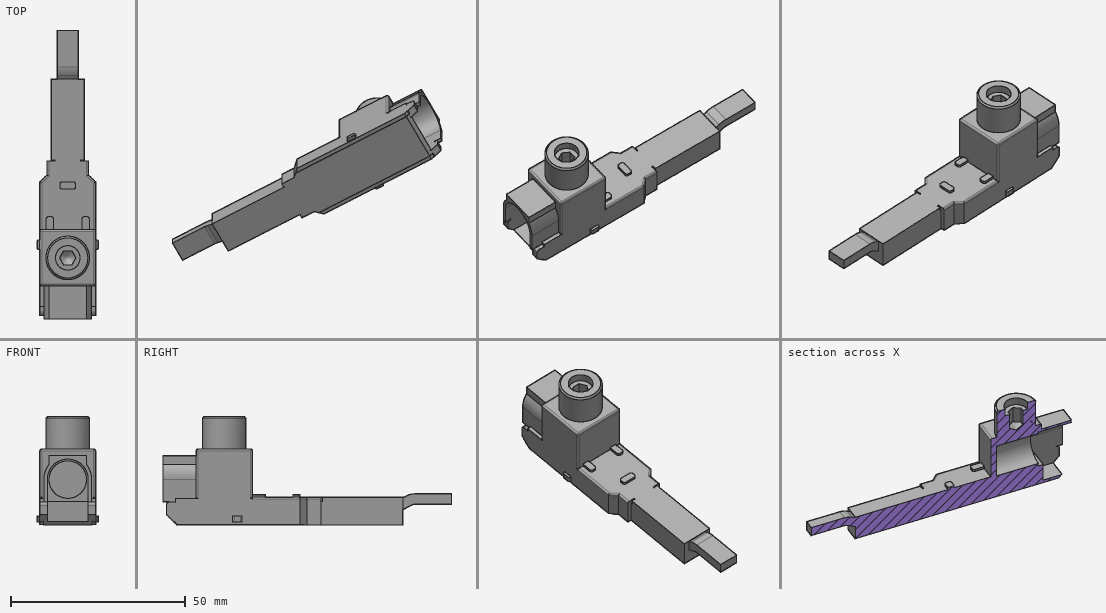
import cadquery as cq
import math

total_width = 17.6
total_length = 82.6
total_height = 31.1
edge_radius = 0.6

base_width = 16.0
base_height = 8.0
base_front = 1.0
floor_thickness = 1.1
neck_width = 12.0
neck_end = 45.3
neck_start = 41.2
shoulder_start = neck_start - (base_width - neck_width) / 2

block_front = 9.5
block_length = 16.2
block_back = block_front + block_length
block_top = 21.8

cheek_top = 7.7
lip_top = 6.7
lip_length = 2.6
lip_radius = 1.0
nose_bevel = 3.05

recess_strip_width = 1.1
recess_strip_depth = 0.2

hood_radius = 6.85
hood_top = 19.9
hood_top_width = 10.7
arch_height = 13.05
entry_radius = 5.9
entry_step_top = 6.8
entry_step_front = 9.0
entry_step_back = 10.5
bore_radius = 5.4
bore_end = block_back - 2.0

sleeve_width = 9.6
sleeve_end = 68.6
slit_width = 1.15
slit_length = 0.3
slit_depth = 1.2
bar_width = 6.0
bar_thickness = 3.05
bar_top = 9.0
bar_bend_start = 72.1
bend_inner_radius = 2.15
bend_angle = 28.0

screw_y = 17.5
head_diameter = 12.5
head_bevel = 0.5
recess_diameter = 7.0
recess_depth = 2.4
hex_flats = 4.05
hex_depth = 5.0
cone_slope = 30.0

mark_width = 2.1
mark_height = 0.75
mark_corner = 0.7
pill_length = 4.5
pill_y = 38.25
rib_x = 5.1
rib_end = 29.3
nub_height = 1.65
nub_bottom = 0.9
nub_length = 2.7
nub_y = 21.3
nub_reach = (total_width - base_width) / 2
nub_corner = 0.5


def box(x_min, x_max, y_min, y_max, z_min, z_max):
    size = (x_max - x_min, y_max - y_min, z_max - z_min)
    return cq.Workplane("XY").box(*size, centered=False).translate((x_min, y_min, z_min))


def centred_box(width, y_min, y_max, z_min, z_max):
    return box(-width / 2, width / 2, y_min, y_max, z_min, z_max)


def both_sides(solid):
    return solid.union(solid.mirror("YZ"))


def along_y(profile, y_min, y_max):
    """Extrude a profile sketched on the XZ plane from y_min to y_max."""
    return profile.extrude(y_min - y_max).translate((0, y_min, 0))


def housing():
    half = base_width / 2
    half_neck = neck_width / 2
    outline = [
        (half, block_front),
        (half, shoulder_start),
        (half_neck, neck_start),
        (half_neck, neck_end),
    ]
    mirrored = [(-x, y) for x, y in reversed(outline)]
    base = cq.Workplane("XY").polyline(outline + mirrored).close().extrude(base_height)
    return base.faces(">Z").edges("not |X").fillet(edge_radius)


def clamp_block():
    foot = centred_box(base_width, block_front, block_back, 0, cheek_top)
    tower = centred_box(base_width, block_front, block_back, cheek_top, block_top)
    return tower.edges("|Z or >Z").fillet(edge_radius).union(foot)


def nose():
    """Front of the housing, with lowered lips and a bevelled underside."""
    profile = (
        cq.Workplane("YZ")
        .moveTo(block_front, 0)
        .lineTo(base_front + nose_bevel, 0)
        .lineTo(base_front, nose_bevel)
        .lineTo(base_front, lip_top - lip_radius)
        .radiusArc((base_front + lip_radius, lip_top), lip_radius)
        .lineTo(base_front + lip_length, lip_top)
        .lineTo(base_front + lip_length, cheek_top)
        .lineTo(block_front, cheek_top)
        .close()
    )
    return profile.extrude(base_width / 2, both=True)


def lower_edge_recesses():
    """Shallow strips cut along the lower outer edges and a short way up the nose bevel."""
    bevel_start = base_front + nose_bevel
    strip_top_y = bevel_start - floor_thickness
    bevel_setback = recess_strip_depth * math.sqrt(2)
    profile = (
        cq.Workplane("YZ")
        .moveTo(neck_start, 0)
        .lineTo(neck_start, recess_strip_depth)
        .lineTo(bevel_start + bevel_setback - recess_strip_depth, recess_strip_depth)
        .lineTo(strip_top_y + bevel_setback, floor_thickness)
        .lineTo(strip_top_y, floor_thickness)
        .lineTo(bevel_start, 0)
        .close()
    )
    strip = profile.extrude(recess_strip_width)
    return both_sides(strip.translate((base_width / 2 - recess_strip_width, 0, 0)))


def wire_hood():
    shoulder = hood_top_width / 2
    shoulder_z = arch_height + math.sqrt(hood_radius**2 - shoulder**2)
    profile = (
        cq.Workplane("XZ")
        .moveTo(-hood_radius, lip_top)
        .lineTo(-hood_radius, arch_height)
        .radiusArc((-shoulder, shoulder_z), hood_radius)
        .lineTo(-shoulder, hood_top)
        .lineTo(shoulder, hood_top)
        .lineTo(shoulder, shoulder_z)
        .radiusArc((hood_radius, arch_height), hood_radius)
        .lineTo(hood_radius, lip_top)
        .close()
    )
    return along_y(profile, 0, block_front)


def wire_entry():
    """Arched opening down to the floor, a step near the front of the block, then a round bore."""
    profile = (
        cq.Workplane("XZ")
        .moveTo(-entry_radius, floor_thickness)
        .lineTo(-entry_radius, arch_height)
        .threePointArc((0, arch_height + entry_radius), (entry_radius, arch_height))
        .lineTo(entry_radius, floor_thickness)
        .close()
    )
    arch = along_y(profile, 0, entry_step_back)
    step = centred_box(base_width, entry_step_front, entry_step_back, 0, entry_step_top)
    bore = along_y(cq.Workplane("XZ").center(0, arch_height).circle(bore_radius), 0, bore_end)
    return arch.cut(step).union(bore)


def sleeve():
    return centred_box(sleeve_width, neck_end, sleeve_end, 0, base_height)


def sleeve_slits():
    edge = sleeve_width / 2
    slit = box(
        edge - slit_width, edge, neck_end, neck_end + slit_length, base_height - slit_depth, base_height
    )
    return both_sides(slit)


def contact_bar():
    """Flat bar that bends down and runs on into the end of the sleeve."""
    angle = math.radians(bend_angle)
    outer_radius = bend_inner_radius + bar_thickness
    centre_z = bar_top - outer_radius

    def bend_point(radius):
        return (bar_bend_start - radius * math.sin(angle), centre_z + radius * math.cos(angle))

    def sleeve_point(radius):
        y, z = bend_point(radius)
        return (sleeve_end, z - (y - sleeve_end) * math.tan(angle))

    profile = (
        cq.Workplane("YZ")
        .moveTo(total_length, bar_top)
        .lineTo(bar_bend_start, bar_top)
        .radiusArc(bend_point(outer_radius), -outer_radius)
        .lineTo(*sleeve_point(outer_radius))
        .lineTo(*sleeve_point(bend_inner_radius))
        .lineTo(*bend_point(bend_inner_radius))
        .radiusArc((bar_bend_start, bar_top - bar_thickness), bend_inner_radius)
        .lineTo(total_length, bar_top - bar_thickness)
        .close()
    )
    return profile.extrude(bar_width / 2, both=True)


def screw_head():
    head = cq.Workplane("XY").circle(head_diameter / 2).extrude(total_height - block_top)
    head = head.faces(">Z").chamfer(head_bevel)
    return head.translate((0, screw_y, block_top))


def screw_socket():
    """Round recess, then a hexagon that ends in a conical point."""
    hex_corners = hex_flats / math.cos(math.pi / 6)
    cone_radius = hex_corners / 2
    cone_height = cone_radius * math.tan(math.radians(cone_slope))
    recess = cq.Workplane("XY").circle(recess_diameter / 2).extrude(-recess_depth)
    hex_end = recess_depth + hex_depth
    hexagon = cq.Workplane("XY").polygon(6, hex_corners).extrude(-hex_end - cone_height)
    cone = cq.Solid.makeCone(cone_radius, 0, cone_height, cq.Vector(0, 0, -hex_end), cq.Vector(0, 0, -1))
    shaft = cq.Workplane("XY").circle(cone_radius).extrude(-hex_end)
    socket = recess.union(hexagon.intersect(shaft.union(cq.Workplane(cone))))
    return socket.translate((0, screw_y, total_height))


def raised_marks():
    mark_top = base_height + mark_height
    pill = centred_box(pill_length, pill_y - mark_width / 2, pill_y + mark_width / 2, base_height, mark_top)
    pill = pill.edges("|Z").fillet(mark_corner)
    half = mark_width / 2
    rib = box(rib_x - half, rib_x + half, block_back - edge_radius, rib_end, base_height, mark_top)
    rib = rib.edges("|Z and >Y").fillet(mark_corner)
    return pill.union(both_sides(rib))


def side_nubs():
    wall = base_width / 2
    front = nub_y - nub_length / 2
    back = nub_y + nub_length / 2
    nub = box(wall - nub_reach, wall + nub_reach, front, back, nub_bottom, nub_bottom + nub_height)
    return both_sides(nub.edges("|Z and >X").fillet(nub_corner))


result = (
    housing()
    .union(clamp_block())
    .union(nose())
    .union(wire_hood())
    .union(sleeve())
    .union(contact_bar())
    .union(screw_head())
    .union(raised_marks())
    .union(side_nubs())
    .cut(wire_entry())
    .cut(lower_edge_recesses())
    .cut(sleeve_slits())
    .cut(screw_socket())
)